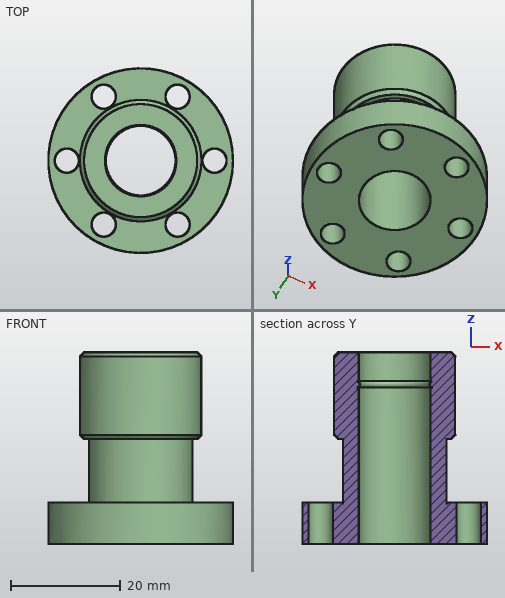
import cadquery as cq

total_height = 35.05
flange_diameter = 33.8
flange_height = 7.6
neck_diameter = 19.0
head_diameter = 22.22
head_bottom = 19.17
head_chamfer = 0.77

gap_diameter = 19.17
gap_depth = 0.18

bore_diameter = 13.07
ring_inner_diameter = 12.72
ring_depth = 5.9
ring_section_diameter = 1.2

bolt_hole_diameter = 4.38
bolt_circle_diameter = 27.0
bolt_count = 6


def cylinder(diameter, bottom, top):
    """Solid cylinder on the Z axis between two heights."""
    return cq.Workplane("XY").workplane(offset=bottom).circle(diameter / 2).extrude(top - bottom)


def make_body():
    flange = cylinder(flange_diameter, 0, flange_height)
    neck = cylinder(neck_diameter, 0, head_bottom)
    head = cylinder(head_diameter, head_bottom, total_height).edges().chamfer(head_chamfer)
    return flange.union(neck).union(head)


def make_gap():
    gap_bottom = flange_height - gap_depth
    outer = cylinder(gap_diameter, gap_bottom, flange_height)
    return outer.cut(cylinder(neck_diameter, gap_bottom, flange_height))


def make_bore():
    """Bore volume; the inner half of the ring section is left standing as part of the body."""
    bore_radius = bore_diameter / 2
    ring_inner_radius = ring_inner_diameter / 2
    section_radius = ring_section_diameter / 2
    ring_middle_radius = ring_inner_radius + section_radius
    ring_height = total_height - ring_depth
    groove_bottom = ring_height - section_radius
    groove_top = ring_height + section_radius
    return (
        cq.Workplane("XZ")
        .lineTo(bore_radius, 0)
        .lineTo(bore_radius, groove_bottom)
        .lineTo(ring_middle_radius, groove_bottom)
        .threePointArc((ring_inner_radius, ring_height), (ring_middle_radius, groove_top))
        .lineTo(bore_radius, groove_top)
        .lineTo(bore_radius, total_height)
        .lineTo(0, total_height)
        .close()
        .revolve(360, (0, 0, 0), (0, 1, 0))
    )


def make_bolt_holes():
    return (
        cq.Workplane("XY")
        .polarArray(bolt_circle_diameter / 2, 0, 360, bolt_count)
        .circle(bolt_hole_diameter / 2)
        .extrude(flange_height)
    )


result = make_body().cut(make_gap()).cut(make_bore()).cut(make_bolt_holes())